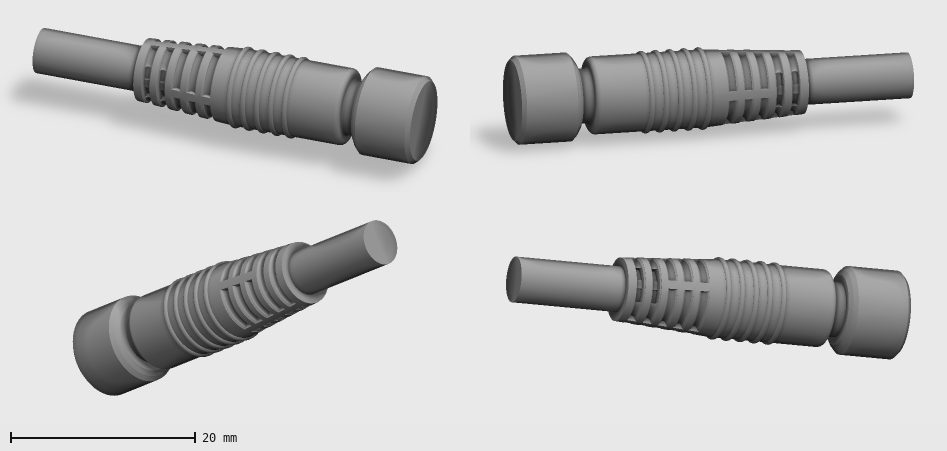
import cadquery as cq
import math

total_length = 44.3
cable_radius = 5.0 / 2

boot_start = 12.0
boot_end = 35.85
boot_start_radius = 6.96 / 2
grip_radius = 8.5 / 2
grip_end_fillet = 0.55

neck_radius = 6.0 / 2
neck_fillet = 0.24

nut_start = 37.3
nut_radius = 9.7 / 2
nut_face_radius = 3.85
nut_lead_length = 0.35
nut_crease_x = nut_start + nut_lead_length
nut_crease_radius = 4.4
nut_end_chamfer = 0.45

rib_count = 5
rib_pitch = 1.6
first_rib_x = 23.3
rib_half_width = 0.31
rib_side_height = 0.04
rib_height = 0.25

grip_start = first_rib_x - rib_half_width
cone_slope = (grip_radius - boot_start_radius) / (grip_start - boot_start)

groove_count = 5
groove_pitch = 1.8
first_groove_x = 13.4
groove_bottom_radius = 0.8 / 2
groove_depth = 0.58
right_flare = 0.15
first_left_flare = 0.08
left_flare_step = 0.05
groove_clearance = 0.6
bar_width = 0.95

window_count = 2
window_width = 0.8
window_height = 3.84
window_bar_reach = 2.72


def revolve_about_x(profile):
    """Revolve a closed XY profile (X along the part, Y radial) about the X axis."""
    return profile.revolve(360, (0, 0, 0), (1, 0, 0))


def cylinder_x(start, end, radius):
    """Solid cylinder along X between two X positions."""
    return cq.Workplane("YZ").workplane(offset=start).circle(radius).extrude(end - start)


def cone_radius(x):
    """Outer radius of the conical part of the boot at position x."""
    return boot_start_radius + cone_slope * (x - boot_start)


def make_body():
    """Cable, boot, neck and coupling nut as one turned shape."""
    fillet_start_x = boot_end - grip_end_fillet
    fillet_center_radius = grip_radius - grip_end_fillet
    fillet_offset = grip_end_fillet * math.sqrt(0.5)
    neck_fillet_offset = neck_fillet * (1 - math.sqrt(0.5))
    neck_fillet_middle = (boot_end + neck_fillet_offset, neck_radius + neck_fillet_offset)
    fillet_middle = (fillet_start_x + fillet_offset, fillet_center_radius + fillet_offset)
    outline = (
        cq.Workplane("XY")
        .lineTo(0, cable_radius)
        .lineTo(boot_start, cable_radius)
        .lineTo(boot_start, boot_start_radius)
        .lineTo(grip_start, grip_radius)
        .lineTo(fillet_start_x, grip_radius)
        .threePointArc(fillet_middle, (boot_end, fillet_center_radius))
        .lineTo(boot_end, neck_radius + neck_fillet)
        .threePointArc(neck_fillet_middle, (boot_end + neck_fillet, neck_radius))
        .lineTo(nut_start, neck_radius)
        .lineTo(nut_start, nut_face_radius)
        .lineTo(nut_crease_x, nut_crease_radius)
        .lineTo(nut_crease_x + nut_radius - nut_crease_radius, nut_radius)
        .lineTo(total_length - nut_end_chamfer, nut_radius)
        .lineTo(total_length, nut_radius - nut_end_chamfer)
        .lineTo(total_length, 0)
        .close()
    )
    return revolve_about_x(outline)


def make_rib(x):
    """Round-topped ring standing on the grip."""
    left = x - rib_half_width
    right = x + rib_half_width
    side_radius = grip_radius + rib_side_height
    profile = (
        cq.Workplane("XY")
        .moveTo(left, neck_radius)
        .lineTo(left, side_radius)
        .threePointArc((x, grip_radius + rib_height), (right, side_radius))
        .lineTo(right, neck_radius)
        .close()
    )
    return revolve_about_x(profile)


def make_groove_ring(x, left_flare):
    """Full ring cutter with a round bottom and flared sides."""
    floor_radius = cone_radius(x) - groove_depth
    arc_center_radius = floor_radius + groove_bottom_radius
    rim_radius = cone_radius(x)
    top_radius = rim_radius + groove_clearance
    left_rim = x - groove_bottom_radius - left_flare
    right_rim = x + groove_bottom_radius + right_flare
    profile = (
        cq.Workplane("XY")
        .moveTo(x - groove_bottom_radius, arc_center_radius)
        .threePointArc((x, floor_radius), (x + groove_bottom_radius, arc_center_radius))
        .lineTo(right_rim, rim_radius)
        .lineTo(right_rim, top_radius)
        .lineTo(left_rim, top_radius)
        .lineTo(left_rim, rim_radius)
        .close()
    )
    return revolve_about_x(profile)


def make_bars(across_y):
    """Lengthwise bars left standing: top and bottom, plus both Y sides if across_y."""
    length = boot_end - boot_start
    span = 2 * nut_radius
    center = ((boot_start + boot_end) / 2, 0, 0)
    bars = cq.Workplane("XY").box(length, bar_width, span)
    if across_y:
        bars = bars.union(cq.Workplane("XY").box(length, span, bar_width))
    return bars.translate(center)


def make_window(x):
    """Side cutter that leaves the round cable and a low bar on each Y side."""
    block = cq.Workplane("XY").box(window_width, 2 * nut_radius, window_height)
    low_bar = cq.Workplane("XY").box(window_width, 2 * window_bar_reach, bar_width)
    cable = cylinder_x(-window_width, window_width, cable_radius)
    return block.cut(cable).cut(low_bar).translate((x, 0, 0))


result = make_body()

for index in range(rib_count):
    result = result.union(make_rib(first_rib_x + index * rib_pitch))

for index in range(groove_count):
    groove_x = first_groove_x + index * groove_pitch
    has_window = index < window_count
    left_flare = first_left_flare + index * left_flare_step
    bars = make_bars(across_y=not has_window)
    groove = make_groove_ring(groove_x, left_flare).cut(bars)
    result = result.cut(groove)
    if has_window:
        result = result.cut(make_window(groove_x))